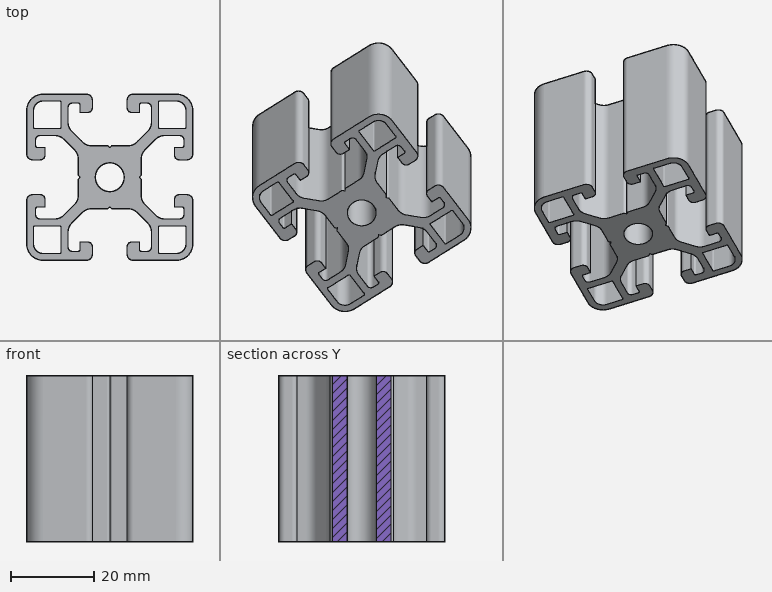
import cadquery as cq
import math

side = 40.0
length = 40.0
outer_radius = 4.0
bore_diameter = 6.9

mouth_width = 8.3
lip_depth = 4.5
lip_inner_width = 14.4
mouth_radius = 1.5
nose_radius = 1.25
flange_thickness = 2.2
chamber_width = 20.0
chamber_corner_radius = 1.0
lip_root_radius = 0.35
core_width = 15.2
web_thickness = 2.7
web_radius = 3.0
notch_depth = 0.5
notch_edge_radius = 0.3

box_wall = 1.7
box_size = 6.55
box_outer_radius = outer_radius - box_wall
box_inner_radius = 0.25

half_side = side / 2
half_mouth = mouth_width / 2
half_lip_inner = lip_inner_width / 2
half_chamber = chamber_width / 2
half_core = core_width / 2
lip_bottom = half_side - lip_depth
chamber_top = half_side - flange_thickness
web_offset = web_thickness / math.sqrt(2)

mouth_edge = (half_mouth, half_side)
lip_nose = (half_mouth, lip_bottom)
lip_heel = (half_lip_inner, lip_bottom)
lip_root = (half_lip_inner, chamber_top)
chamber_corner = (half_chamber, chamber_top)
web_outer_end = (half_chamber, half_chamber + web_offset)
web_inner_end = (half_core - web_offset, half_core)
notch_edge = (notch_depth, half_core)
notch_bottom = (0, half_core - notch_depth)

corner_radii = [
    (mouth_edge, mouth_radius),
    (lip_nose, nose_radius),
    (lip_root, lip_root_radius),
    (chamber_corner, chamber_corner_radius),
    (web_outer_end, web_radius),
    (web_inner_end, web_radius),
    (notch_edge, notch_edge_radius),
]


def mirrored(points):
    """The points reflected across X = 0, in reverse order."""
    return [(-x, y) for x, y in reversed(points)]


def slot_cutter():
    """Prism with sharp corners that clears the +Y slot."""
    right_half = [
        mouth_edge, lip_nose, lip_heel, lip_root, chamber_corner,
        web_outer_end, web_inner_end, notch_edge,
    ]
    outline = right_half + [notch_bottom] + mirrored(right_half)
    return cq.Workplane("XY").polyline(outline).close().extrude(length)


def corner_box_cutter():
    """Square channel in the +X +Y corner, with a large radius on its outermost corner."""
    centre = half_side - box_wall - box_size / 2
    channel = cq.Workplane("XY").center(centre, centre).rect(box_size, box_size).extrude(length)
    outermost = ">(1, 1, 0)"
    channel = channel.edges("|Z").edges(f"not {outermost}").fillet(box_inner_radius)
    return channel.edges("|Z").edges(outermost).fillet(box_outer_radius)


def turned(shape, quarter):
    """The shape turned about Z by a number of quarter turns."""
    return shape.rotate((0, 0, 0), (0, 0, 1), 90 * quarter)


def eight_copies(point):
    """The point, its mirror image across X = 0, and their quarter turns."""
    copies = []
    for x, y in [point] + mirrored([point]):
        for _ in range(4):
            copies.append((x, y))
            x, y = -y, x
    return copies


def round_corners(body, point, radius):
    """Fillet the vertical edges at all eight copies of a slot corner."""
    edges = cq.Workplane("XY")
    for x, y in eight_copies(point):
        nearest = cq.selectors.NearestToPointSelector((x, y, length / 2))
        edges = edges.add(body.edges("|Z").edges(nearest))
    return body.newObject(edges.vals()).fillet(radius)


result = cq.Workplane("XY").rect(side, side).extrude(length).edges("|Z").fillet(outer_radius)
result = result.cut(cq.Workplane("XY").circle(bore_diameter / 2).extrude(length))

slot = slot_cutter()
corner_box = corner_box_cutter()
for quarter in range(4):
    result = result.cut(turned(slot, quarter)).cut(turned(corner_box, quarter))

for corner, radius in corner_radii:
    result = round_corners(result, corner, radius)